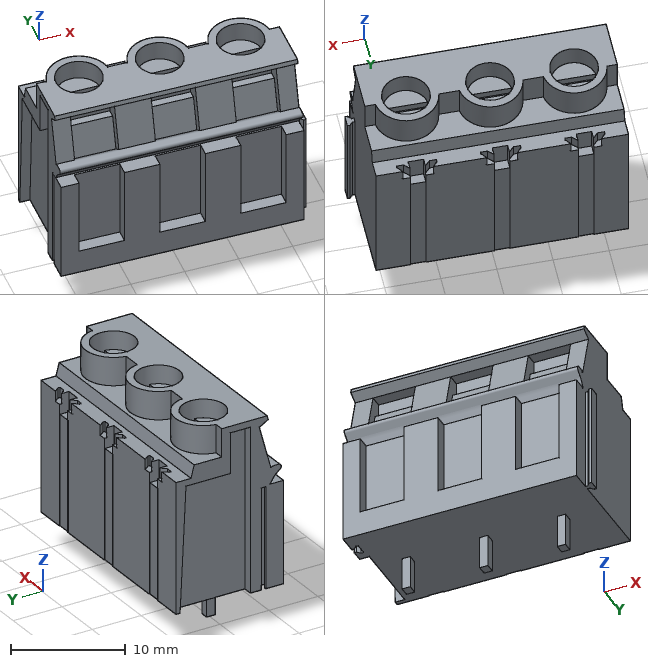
import cadquery as cq
import math


POLE_COUNT = 3
OVERALL_LENGTH = 23.25
PITCH = 7.49
LENGTH = 22.5
DEPTH = 11.0
HEIGHT = 17.0
LEFT = -LENGTH / 2
RIGHT = LENGTH / 2
POLES = [(i - (POLE_COUNT - 1) / 2) * PITCH for i in range(POLE_COUNT)]

PANEL_TOP = 10.18
PANEL_LEDGE_Y = 1.4
NECK_Y, NECK_Z = 1.05, 10.72
LIP_UNDER_Y, LIP_UNDER_Z = 0.85, 10.95
LIP_TOP_Z = 11.9
LIP_FLAT_FRONT_Y = 0.5
LIP_FLAT_BACK_Y = 0.9
LIP_TIP_RADIUS = 0.28
SLOPE_FOOT_Y, SLOPE_FOOT_Z = 1.3, 11.79
SLOPE_HEAD_Y, SLOPE_HEAD_Z = 2.46, 16.07
EAVE_TIP_Y, EAVE_TIP_Z = 1.55, 16.6
EAVE_TOP_Y = 1.67

TOWER_BACK_Y = 6.32
STEP_TOP = 14.2
STEP_BACK_Y = 9.14
STEP_FOOT_Y = 9.46
BACK_TOP = 12.97

SCREW_Y = 5.88
BOSS_RADIUS = 2.85
BORE_RADIUS = 2.12
SCREW_RADIUS = 2.02
SCREW_TOP = 15.2
SCREW_HEIGHT = 2.0
BORE_FLOOR = SCREW_TOP - SCREW_HEIGHT
DRIVE_SLOT_WIDTH = 0.63
DRIVE_SLOT_DEPTH = 0.63

PIN_WIDTH = 0.8
PIN_THICKNESS = 0.9
PIN_LENGTH = 3.2
PIN_Y = 5.35

PANEL_RECESS_WIDTH = 4.2
PANEL_RECESS_BOTTOM = 2.42
PANEL_RECESS_DEPTH = 1.2

WINDOW_WIDTH = 4.1
WINDOW_DEPTH = 0.88
WINDOW_SHELF_Z = 14.37
WINDOW_BACK_Y = 3.63
WINDOW_FOOT_DROP = 0.5
WINDOW_SILL_Y, WINDOW_SILL_Z = 1.45, 11.7

END_RECESS_DEPTH = 0.93
END_RECESS_FRONT_Y = 3.4
END_RECESS_STEP_Y = 5.42
END_RECESS_TOP = 16.35
END_RECESS_STEP_Z = 12.35
END_RECESS_BACK_TOP_Y = 9.97
END_RECESS_BACK_FOOT_Y = 10.58

JOINT_Y = 2.05
JOINT_HEIGHT = 10.02
JOINT_NECK_WIDTH = 0.42
JOINT_HEAD_WIDTH = 1.05
JOINT_NECK_LENGTH = 0.23
JOINT_HEAD_START = 0.5
JOINT_LENGTH = OVERALL_LENGTH - LENGTH
JOINT_CLEARANCE = 0.02

NOTCH_MOUTH = 1.37
NOTCH_ARM = 1.77
NOTCH_ARM_SIDE = 0.53
NOTCH_DEPTH = 0.72
NOTCH_ARM_INNER = 1.16
NOTCH_PEAK_DEPTH = 0.23
NOTCH_DROP = 1.0
SLOT_WIDTH = 1.37
SLOT_DEPTH = 0.98
SLOT_DROP = 2.0
GROOVE_DEPTH = 0.07


def box(x_min, x_max, y_min, y_max, z_min, z_max):
    size = (x_max - x_min, y_max - y_min, z_max - z_min)
    return cq.Workplane("XY").box(*size, centered=False).translate((x_min, y_min, z_min))


def end_section(x):
    """Workplane at one X, for outlines in (Y, Z) that extrude towards +X."""
    return cq.Workplane("YZ", origin=(x, 0, 0))


def housing_block():
    diagonal = LIP_TIP_RADIUS * math.sqrt(0.5)
    tip_centre_z = LIP_TOP_Z - LIP_TIP_RADIUS
    return (
        end_section(LEFT)
        .moveTo(0, 0)
        .lineTo(0, PANEL_TOP)
        .lineTo(PANEL_LEDGE_Y, PANEL_TOP)
        .lineTo(NECK_Y, NECK_Z)
        .tangentArcPoint((LIP_UNDER_Y, LIP_UNDER_Z), relative=False)
        .lineTo(LIP_FLAT_FRONT_Y - diagonal, tip_centre_z - diagonal)
        .threePointArc(
            (LIP_FLAT_FRONT_Y - LIP_TIP_RADIUS, tip_centre_z),
            (LIP_FLAT_FRONT_Y, LIP_TOP_Z),
        )
        .lineTo(LIP_FLAT_BACK_Y, LIP_TOP_Z)
        .tangentArcPoint((SLOPE_FOOT_Y, SLOPE_FOOT_Z), relative=False)
        .lineTo(SLOPE_HEAD_Y, SLOPE_HEAD_Z)
        .lineTo(EAVE_TIP_Y, EAVE_TIP_Z)
        .lineTo(EAVE_TOP_Y, HEIGHT)
        .lineTo(TOWER_BACK_Y, HEIGHT)
        .lineTo(TOWER_BACK_Y, STEP_TOP)
        .lineTo(STEP_BACK_Y, STEP_TOP)
        .lineTo(STEP_FOOT_Y, BACK_TOP)
        .lineTo(DEPTH, BACK_TOP)
        .lineTo(DEPTH, 0)
        .close()
        .extrude(LENGTH)
    )


def cylinder(x, radius, bottom, top):
    return cq.Workplane("XY", origin=(x, SCREW_Y, bottom)).circle(radius).extrude(top - bottom)


def panel_recess(x):
    half = PANEL_RECESS_WIDTH / 2
    return box(x - half, x + half, 0, PANEL_RECESS_DEPTH, PANEL_RECESS_BOTTOM, PANEL_TOP)


def slope_y(z):
    """Y of the sloping front face at height z."""
    run = (SLOPE_HEAD_Y - SLOPE_FOOT_Y) / (SLOPE_HEAD_Z - SLOPE_FOOT_Z)
    return SLOPE_FOOT_Y + run * (z - SLOPE_FOOT_Z)


def window(x):
    foot_z = SLOPE_FOOT_Z - WINDOW_FOOT_DROP
    return (
        end_section(x - WINDOW_WIDTH / 2)
        .polyline(
            [
                (SLOPE_FOOT_Y, SLOPE_FOOT_Z),
                (SLOPE_HEAD_Y, SLOPE_HEAD_Z),
                (WINDOW_BACK_Y, SLOPE_HEAD_Z),
                (WINDOW_BACK_Y, WINDOW_SHELF_Z),
                (slope_y(WINDOW_SHELF_Z) + WINDOW_DEPTH, WINDOW_SHELF_Z),
                (slope_y(foot_z) + WINDOW_DEPTH, foot_z),
                (WINDOW_SILL_Y, WINDOW_SILL_Z),
            ]
        )
        .close()
        .extrude(WINDOW_WIDTH)
    )


def end_recess():
    return (
        end_section(LEFT)
        .polyline(
            [
                (END_RECESS_FRONT_Y, 0),
                (END_RECESS_FRONT_Y, END_RECESS_TOP),
                (END_RECESS_STEP_Y, END_RECESS_TOP),
                (END_RECESS_STEP_Y, END_RECESS_STEP_Z),
                (END_RECESS_BACK_TOP_Y, END_RECESS_STEP_Z),
                (END_RECESS_BACK_FOOT_Y, 0),
            ]
        )
        .close()
        .extrude(END_RECESS_DEPTH)
    )


def dovetail(x, clearance):
    """Upright dovetail that starts at x and widens towards +X."""
    neck = JOINT_NECK_WIDTH / 2 + clearance
    head = JOINT_HEAD_WIDTH / 2 + clearance
    right_half = [
        (0, neck),
        (JOINT_NECK_LENGTH, neck),
        (JOINT_HEAD_START, head),
        (JOINT_LENGTH + clearance, head),
    ]
    left_half = [(along, -across) for along, across in reversed(right_half)]
    return (
        cq.Workplane("XY", origin=(x, JOINT_Y, 0))
        .polyline(right_half + left_half)
        .close()
        .extrude(JOINT_HEIGHT + clearance)
    )


def back_notch(x):
    """Hooked notch in the back edge, with a deeper slot and a shallow groove below it."""
    right_half = [
        (NOTCH_MOUTH, 0),
        (NOTCH_ARM, -NOTCH_ARM_SIDE),
        (NOTCH_ARM, -NOTCH_DEPTH),
        (NOTCH_ARM_INNER, -NOTCH_DEPTH),
        (SLOT_WIDTH / 2, -NOTCH_PEAK_DEPTH),
    ]
    left_half = [(-across, inward) for across, inward in reversed(right_half)]
    hooks = (
        cq.Workplane("XY", origin=(x, DEPTH, BACK_TOP - NOTCH_DROP))
        .polyline(right_half + left_half)
        .close()
        .extrude(NOTCH_DROP)
    )
    half = SLOT_WIDTH / 2
    slot = box(x - half, x + half, DEPTH - SLOT_DEPTH, DEPTH, BACK_TOP - SLOT_DROP, BACK_TOP)
    groove = box(x - half, x + half, DEPTH - GROOVE_DEPTH, DEPTH, 0, BACK_TOP)
    return hooks.union(slot).union(groove)


def make_housing():
    body = housing_block()
    for x in POLES:
        body = body.union(cylinder(x, BOSS_RADIUS, STEP_TOP, HEIGHT))
    for x in POLES:
        body = body.cut(cylinder(x, BORE_RADIUS, BORE_FLOOR, HEIGHT))
        body = body.cut(panel_recess(x))
        body = body.cut(window(x))
        body = body.cut(back_notch(x))
    body = body.cut(end_recess())
    body = body.cut(dovetail(LEFT, JOINT_CLEARANCE))
    return body.union(dovetail(RIGHT, 0))


def make_screw(x):
    drive_slot = box(
        x - SCREW_RADIUS,
        x + SCREW_RADIUS,
        SCREW_Y - DRIVE_SLOT_WIDTH / 2,
        SCREW_Y + DRIVE_SLOT_WIDTH / 2,
        SCREW_TOP - DRIVE_SLOT_DEPTH,
        SCREW_TOP,
    )
    return cylinder(x, SCREW_RADIUS, BORE_FLOOR, SCREW_TOP).cut(drive_slot)


def make_pin(x):
    return box(
        x - PIN_WIDTH / 2,
        x + PIN_WIDTH / 2,
        PIN_Y - PIN_THICKNESS / 2,
        PIN_Y + PIN_THICKNESS / 2,
        -PIN_LENGTH,
        0,
    )


housing = make_housing()
screws = [make_screw(x).val() for x in POLES]
pins = [make_pin(x).val() for x in POLES]

result = cq.Compound.makeCompound([housing.val(), *screws, *pins])